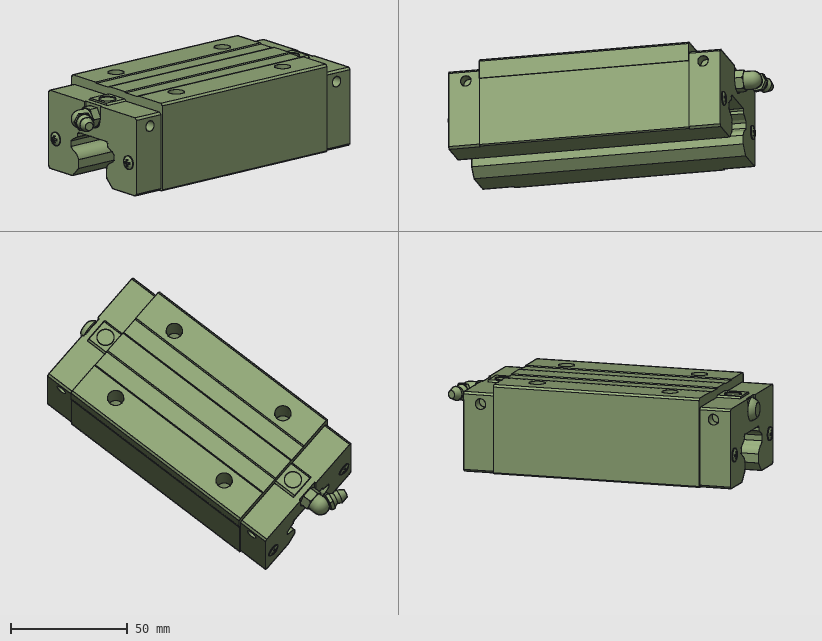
import cadquery as cq
import math


TOTAL_LENGTH = 136.5

BODY_LENGTH = 93.1
BODY_WIDTH = 60.0
BODY_HALF_WIDTH = BODY_WIDTH / 2
BODY_HEIGHT = 39.0
BODY_TOP_BEVEL = 1.0
BODY_BOTTOM_BEVEL = 0.5
DATUM_STEP = 0.4
DATUM_BOTTOM_Z = 30.5

GROOVE_INNER_X = 5.2
GROOVE_OUTER_X = 14.0
GROOVE_DEPTH = 0.4
GROOVE_WALL_RUN = 0.5

MOUNT_X = 19.9
MOUNT_Y = 30.0
MOUNT_DIAMETER = 7.0
MOUNT_DEPTH = 12.0
DRILL_POINT_ANGLE = 118.0

CAP_LENGTH = 10.5
PLATE_THICKNESS = 3.3
CAP_HALF_WIDTH = 29.1
CAP_HEIGHT = 35.0
CAP_BEVEL = 1.0
CAP_END_Y = BODY_LENGTH / 2 + CAP_LENGTH
PLATE_END_Y = CAP_END_Y + PLATE_THICKNESS

PAD_HALF_WIDTH = 5.2
PAD_RISE = 0.8
SEAL_RADIUS = 3.7
SEAL_DEPTH = 0.4
SEAL_Y = 51.9

PORT_RADIUS = 2.3
PORT_DEPTH = 5.5
PORT_Y = 52.7
PORT_Z = 30.0

NIPPLE_Z = 29.5
NOTCH_RADIUS = 5.2
NOTCH_DEPTH = 0.7
NOTCH_FLOOR_Y = PLATE_END_Y - NOTCH_DEPTH

RAIL_TOP_HALF_WIDTH = 9.3
RAIL_TOP_Z = 20.2
RAIL_NECK_HALF_WIDTH = 10.0
NECK_TOP_Z = 19.4
NECK_BOTTOM_Z = 18.0
RACE_Z = 14.0
RACE_HALF_WIDTH = 14.2
RACE_FLAT_HALF = 1.2
RACE_FLANK_HALF_WIDTH = 13.2
RACE_FLANK_HALF = 2.2
LIP_ROUND_START = (12.3, 11.3)
LIP_ROUND_MIDDLE = (10.1, 9.8)
RAIL_LIP_HALF_WIDTH = 9.1
LIP_TOP_Z = 8.0
LIP_BOTTOM_Z = 4.1
RAIL_BOTTOM_HALF_WIDTH = 13.2

SCREW_X = 24.0
SCREW_Z = 14.0
SCREW_RADIUS = 3.0
SCREW_RIM_HEIGHT = 0.4
SCREW_HEIGHT = 1.4
SCREW_RECESS_LENGTH = 3.0
SCREW_RECESS_WIDTH = 0.8
SCREW_RECESS_DEPTH = 0.7

PLUG_END_Y = 63.0
PLUG_FLAT_RADIUS = 3.1
PLUG_SHOULDER_RADIUS = 4.5

BASE_HEX_DIAMETER = 9.5
BASE_HEX_LENGTH = 4.1
BASE_HEX_BEVEL = 0.4
ELBOW_RADIUS = 4.0
SPOUT_ANGLE = 22.5
SPOUT_HEX_DIAMETER = 8.2
SPOUT_HEX_START = 3.5
SPOUT_HEX_END = 5.2
SPOUT_COLLAR_RADIUS = 3.4
SPOUT_NECK_RADIUS = 2.5
SPOUT_NECK_END = 7.1
SPOUT_BULB_RADIUS = 3.1
SPOUT_BULB_END = 9.0
SPOUT_TIP_RADIUS = 1.8
SPOUT_END = 12.1
SPOUT_TILT = math.radians(SPOUT_ANGLE)
SPOUT_REACH = SPOUT_BULB_END * math.sin(SPOUT_TILT) + SPOUT_BULB_RADIUS * math.cos(SPOUT_TILT)
ELBOW_Y = PLUG_END_Y - TOTAL_LENGTH + SPOUT_REACH


def both_sides(right_points):
    """Close a symmetric outline from the points of its right half."""
    left_points = [(-x, z) for x, z in reversed(right_points)]
    return right_points + left_points


def prism_along_y(points, y_start, y_end):
    """Extrude an XZ outline between two Y positions."""
    outline = cq.Workplane("XZ", origin=(0, y_start, 0)).polyline(points).close()
    return outline.extrude(y_start - y_end)


def end_plane(end, y):
    """XZ plane at distance y from the middle; its normal points out of that end (+1 or -1)."""
    return cq.Plane(origin=(0, end * y, 0), xDir=(1, 0, 0), normal=(0, end, 0))


def plane_z(end, z):
    """Height z as the local second coordinate on an end plane."""
    return -end * z


def make_body():
    relief_x = -BODY_HALF_WIDTH + DATUM_STEP
    top_x = BODY_HALF_WIDTH - BODY_TOP_BEVEL
    groove_z = BODY_HEIGHT - GROOVE_DEPTH
    outline = [
        (relief_x + BODY_BOTTOM_BEVEL, 0),
        (BODY_HALF_WIDTH - BODY_BOTTOM_BEVEL, 0),
        (BODY_HALF_WIDTH, BODY_BOTTOM_BEVEL),
        (BODY_HALF_WIDTH, BODY_HEIGHT - BODY_TOP_BEVEL),
        (top_x, BODY_HEIGHT),
        (-top_x, BODY_HEIGHT),
        (-BODY_HALF_WIDTH, BODY_HEIGHT - BODY_TOP_BEVEL),
        (-BODY_HALF_WIDTH, DATUM_BOTTOM_Z),
        (relief_x, DATUM_BOTTOM_Z),
        (relief_x, BODY_BOTTOM_BEVEL),
    ]
    body = prism_along_y(outline, -BODY_LENGTH / 2, BODY_LENGTH / 2)
    for side in (-1, 1):
        groove = [
            (side * GROOVE_INNER_X, BODY_HEIGHT),
            (side * (GROOVE_INNER_X + GROOVE_WALL_RUN), groove_z),
            (side * (GROOVE_OUTER_X - GROOVE_WALL_RUN), groove_z),
            (side * GROOVE_OUTER_X, BODY_HEIGHT),
        ]
        body = body.cut(prism_along_y(groove, -BODY_LENGTH / 2, BODY_LENGTH / 2))
    return body


def mounting_holes():
    """Blind drilled holes, each with a conical bottom."""
    radius = MOUNT_DIAMETER / 2
    point_depth = radius / math.tan(math.radians(DRILL_POINT_ANGLE / 2))
    drill = (
        cq.Workplane("XZ")
        .moveTo(0, BODY_HEIGHT)
        .lineTo(radius, BODY_HEIGHT)
        .lineTo(radius, BODY_HEIGHT - MOUNT_DEPTH)
        .lineTo(0, BODY_HEIGHT - MOUNT_DEPTH - point_depth)
        .close()
        .revolve(360, (0, 0, 0), (0, 1, 0))
    )
    holes = cq.Workplane("XY")
    for x in (-MOUNT_X, MOUNT_X):
        for y in (-MOUNT_Y, MOUNT_Y):
            holes = holes.add(drill.translate((x, y, 0)))
    return holes.combine()


def make_cap(end):
    """End cap and end plate in one piece, with pad, seal recess, ports and notch."""
    start_y = end * BODY_LENGTH / 2
    outline = both_sides([
        (CAP_HALF_WIDTH - CAP_BEVEL, 0),
        (CAP_HALF_WIDTH, CAP_BEVEL),
        (CAP_HALF_WIDTH, CAP_HEIGHT - CAP_BEVEL),
        (CAP_HALF_WIDTH - CAP_BEVEL, CAP_HEIGHT),
    ])
    cap = prism_along_y(outline, start_y, end * PLATE_END_Y)

    pad = both_sides([
        (PAD_HALF_WIDTH + PAD_RISE, CAP_HEIGHT),
        (PAD_HALF_WIDTH, CAP_HEIGHT + PAD_RISE),
    ])
    cap = cap.union(prism_along_y(pad, start_y, end * CAP_END_Y))

    seal = (
        cq.Workplane("XY", origin=(0, end * SEAL_Y, CAP_HEIGHT + PAD_RISE))
        .circle(SEAL_RADIUS)
        .extrude(-SEAL_DEPTH)
    )
    cap = cap.cut(seal)

    for side in (-1, 1):
        port = (
            cq.Workplane("YZ", origin=(side * CAP_HALF_WIDTH, end * PORT_Y, PORT_Z))
            .circle(PORT_RADIUS)
            .extrude(-side * PORT_DEPTH)
        )
        cap = cap.cut(port)

    notch = (
        cq.Workplane(end_plane(end, NOTCH_FLOOR_Y))
        .moveTo(-NOTCH_RADIUS, plane_z(end, CAP_HEIGHT))
        .lineTo(-NOTCH_RADIUS, plane_z(end, NIPPLE_Z))
        .threePointArc((0, plane_z(end, NIPPLE_Z - NOTCH_RADIUS)), (NOTCH_RADIUS, plane_z(end, NIPPLE_Z)))
        .lineTo(NOTCH_RADIUS, plane_z(end, CAP_HEIGHT))
        .close()
        .extrude(NOTCH_DEPTH)
    )
    return cap.cut(notch)


def rail_opening():
    """Channel for the rail, running through the body and both ends."""
    right_half = (
        cq.Workplane("XZ", origin=(0, PLATE_END_Y, 0))
        .moveTo(0, RAIL_TOP_Z)
        .lineTo(RAIL_TOP_HALF_WIDTH, RAIL_TOP_Z)
        .lineTo(RAIL_NECK_HALF_WIDTH, NECK_TOP_Z)
        .lineTo(RAIL_NECK_HALF_WIDTH, NECK_BOTTOM_Z)
        .lineTo(RACE_FLANK_HALF_WIDTH, RACE_Z + RACE_FLANK_HALF)
        .lineTo(RACE_HALF_WIDTH, RACE_Z + RACE_FLAT_HALF)
        .lineTo(RACE_HALF_WIDTH, RACE_Z - RACE_FLAT_HALF)
        .lineTo(RACE_FLANK_HALF_WIDTH, RACE_Z - RACE_FLANK_HALF)
        .lineTo(*LIP_ROUND_START)
        .threePointArc(LIP_ROUND_MIDDLE, (RAIL_LIP_HALF_WIDTH, LIP_TOP_Z))
        .lineTo(RAIL_LIP_HALF_WIDTH, LIP_BOTTOM_Z)
        .lineTo(RAIL_BOTTOM_HALF_WIDTH, 0)
        .lineTo(0, 0)
        .close()
        .extrude(2 * PLATE_END_Y)
    )
    return right_half.union(right_half.mirror("YZ"))


def make_screw(end, side):
    """Domed screw head with a cross recess on the outer face of an end plate."""
    center = (side * SCREW_X, plane_z(end, SCREW_Z))
    dome_rise = SCREW_HEIGHT - SCREW_RIM_HEIGHT
    dome_radius = (SCREW_RADIUS**2 + dome_rise**2) / (2 * dome_rise)
    head = (
        cq.Workplane("XY")
        .lineTo(SCREW_RADIUS, 0)
        .lineTo(SCREW_RADIUS, SCREW_RIM_HEIGHT)
        .radiusArc((0, SCREW_HEIGHT), -dome_radius)
        .close()
        .revolve(360, (0, 0, 0), (0, 1, 0))
    )
    if end < 0:
        head = head.rotate((0, 0, 0), (0, 0, 1), 180)
    head = head.translate((side * SCREW_X, end * PLATE_END_Y, SCREW_Z))
    recess_floor = end_plane(end, PLATE_END_Y + SCREW_HEIGHT - SCREW_RECESS_DEPTH)
    for size in (
        (SCREW_RECESS_LENGTH, SCREW_RECESS_WIDTH),
        (SCREW_RECESS_WIDTH, SCREW_RECESS_LENGTH),
    ):
        slot = cq.Workplane(recess_floor).center(*center).rect(*size).extrude(SCREW_RECESS_DEPTH)
        head = head.cut(slot)
    return head


def make_plug():
    """Rounded plug seated in the notch of the +Y plate."""
    shoulder_y = (PLATE_END_Y + PLUG_END_Y) / 2
    return (
        cq.Workplane("XY")
        .moveTo(0, NOTCH_FLOOR_Y)
        .lineTo(NOTCH_RADIUS, NOTCH_FLOOR_Y)
        .lineTo(NOTCH_RADIUS, PLATE_END_Y)
        .threePointArc((PLUG_SHOULDER_RADIUS, shoulder_y), (PLUG_FLAT_RADIUS, PLUG_END_Y))
        .lineTo(0, PLUG_END_Y)
        .close()
        .revolve(360, (0, 0, 0), (0, 1, 0))
        .translate((0, 0, NIPPLE_Z))
    )


def make_nipple():
    """Hexagon base, round elbow and angled spout with its own hexagon."""
    base_plane = cq.Plane(origin=(0, -NOTCH_FLOOR_Y, NIPPLE_Z), xDir=(1, 0, 0), normal=(0, -1, 0))
    base = cq.Workplane(base_plane).polygon(6, BASE_HEX_DIAMETER).extrude(BASE_HEX_LENGTH)
    bevel_cone = (
        cq.Workplane(base_plane)
        .circle(BASE_HEX_DIAMETER / 2)
        .extrude(BASE_HEX_LENGTH)
        .faces("<Y")
        .chamfer(BASE_HEX_BEVEL)
    )
    base = base.intersect(bevel_cone)
    elbow = cq.Workplane(base_plane).circle(ELBOW_RADIUS).extrude(-NOTCH_FLOOR_Y - ELBOW_Y)
    knuckle = cq.Workplane("XY").sphere(ELBOW_RADIUS).translate((0, ELBOW_Y, NIPPLE_Z))

    spout = (
        cq.Workplane("XY")
        .lineTo(0, SPOUT_NECK_RADIUS)
        .lineTo(SPOUT_HEX_END, SPOUT_NECK_RADIUS)
        .lineTo(SPOUT_HEX_END, SPOUT_COLLAR_RADIUS)
        .lineTo(SPOUT_NECK_END, SPOUT_NECK_RADIUS)
        .lineTo(SPOUT_BULB_END, SPOUT_BULB_RADIUS)
        .lineTo(SPOUT_END, SPOUT_TIP_RADIUS)
        .lineTo(SPOUT_END, 0)
        .close()
        .revolve(360, (0, 0, 0), (1, 0, 0))
    )
    spout_hex = (
        cq.Workplane("YZ", origin=(SPOUT_HEX_START, 0, 0))
        .polygon(6, SPOUT_HEX_DIAMETER)
        .extrude(SPOUT_HEX_END - SPOUT_HEX_START)
    )
    spout = (
        spout.union(spout_hex)
        .rotate((0, 0, 0), (0, 0, 1), -SPOUT_ANGLE)
        .translate((0, ELBOW_Y, NIPPLE_Z))
    )
    return base.union(elbow).union(knuckle).union(spout)


carriage = make_body().cut(mounting_holes())
for end in (-1, 1):
    carriage = carriage.union(make_cap(end))
carriage = carriage.cut(rail_opening())

for end in (-1, 1):
    for side in (-1, 1):
        carriage = carriage.union(make_screw(end, side))

result = carriage.union(make_plug()).union(make_nipple())